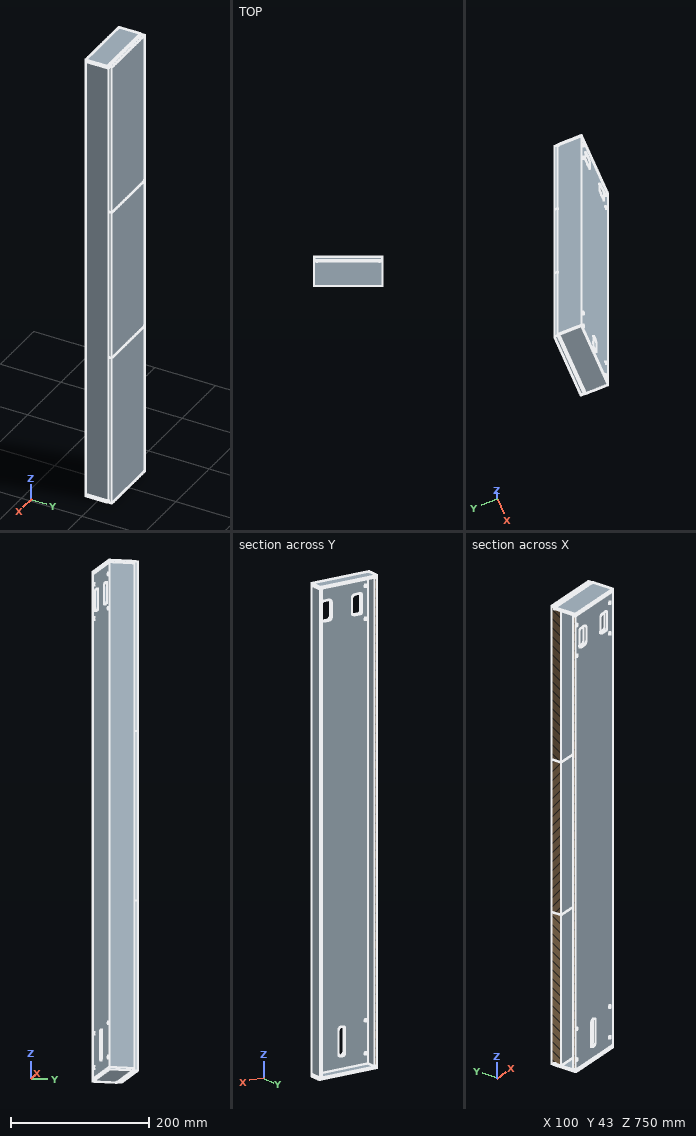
import cadquery as cq

WIDTH = 100.0
DEPTH = 43.0
LENGTH = 750.0

WALL = 4.65
PANEL_STAND_OUT = 5.0
HOUSING_DEPTH = DEPTH - PANEL_STAND_OUT
INNER_WIDTH = WIDTH - 2 * WALL

CAP_THICKNESS = 3.45
CAP_BACK_SETBACK = 1.9
CAP_DEPTH = HOUSING_DEPTH - CAP_BACK_SETBACK

PANEL_COUNT = 3
PANEL_INSET = 0.4
INSERT_FRONT_Y = 25.0
PANEL_WIDTH = WIDTH - 2 * PANEL_INSET
PANEL_LENGTH = (LENGTH - 2 * PANEL_INSET) / PANEL_COUNT

HOLE_DIAMETER = 4.0
HOLE_OFFSET_X = 42.0
HOLE_SPACING_Z = 50.0
HOLE_END_DISTANCE = 19.5

WINDOW_WIDTH = 17.0
WINDOW_HEIGHT = 31.5
WINDOW_OFFSET_X = 26.0
WINDOW_CENTER_Z = 705.0
WINDOW_INNER_RADIUS = 5.0
WINDOW_OUTER_RADIUS = 3.15

SLOT_WIDTH = 11.0
SLOT_HEIGHT = 45.0
SLOT_CENTER_Z = 45.0
SLOT_CORNER_RADIUS = 4.5


def centered_box(width, y_range, z_range):
    """Box centered on X that spans the given Y and Z ranges."""
    front, back = y_range
    bottom, top = z_range
    box = cq.Workplane("XY").box(width, back - front, top - bottom, centered=(True, False, False))
    return box.translate((0, front, bottom))


def front_wall_cutter(outline):
    """Extrude an outline on the front face backward through the front wall."""
    return outline.extrude(-WALL)


def rectangle_cutter(center_x, center_z, width, height):
    """Cutter for a rectangular opening in the front wall."""
    return front_wall_cutter(cq.Workplane("XZ").center(center_x, center_z).rect(width, height))


def screw_hole_cutter():
    heights = [HOLE_END_DISTANCE, HOLE_END_DISTANCE + HOLE_SPACING_Z]
    heights += [LENGTH - height for height in heights]
    centers = [(side * HOLE_OFFSET_X, height) for side in (-1, 1) for height in heights]
    return front_wall_cutter(cq.Workplane("XZ").pushPoints(centers).circle(HOLE_DIAMETER / 2))


def window_cutter(side):
    """Window on one side: side is -1 for -X and 1 for +X."""
    cutter = rectangle_cutter(side * WINDOW_OFFSET_X, WINDOW_CENTER_Z, WINDOW_WIDTH, WINDOW_HEIGHT)
    inner_side, outer_side = ("<X", ">X") if side > 0 else (">X", "<X")
    cutter = cutter.edges(f"|Y and {inner_side}").fillet(WINDOW_INNER_RADIUS)
    return cutter.edges(f"|Y and {outer_side}").fillet(WINDOW_OUTER_RADIUS)


def slot_cutter():
    cutter = rectangle_cutter(0, SLOT_CENTER_Z, SLOT_WIDTH, SLOT_HEIGHT)
    return cutter.edges("|Y").fillet(SLOT_CORNER_RADIUS)


def make_housing():
    z_range = (CAP_THICKNESS, LENGTH - CAP_THICKNESS)
    channel = centered_box(WIDTH, (0, HOUSING_DEPTH), z_range)
    cavity = centered_box(INNER_WIDTH, (WALL, HOUSING_DEPTH), z_range)
    housing = channel.cut(cavity).cut(screw_hole_cutter()).cut(slot_cutter())
    for side in (-1, 1):
        housing = housing.cut(window_cutter(side))
    return housing


def make_cap(bottom_z):
    return centered_box(WIDTH, (0, CAP_DEPTH), (bottom_z, bottom_z + CAP_THICKNESS))


def make_panel(index):
    """One panel of the row, counted from the bottom; the inserts stop at the end caps."""
    bottom_z = PANEL_INSET + index * PANEL_LENGTH
    top_z = bottom_z + PANEL_LENGTH
    insert_z_range = (max(bottom_z, CAP_THICKNESS), min(top_z, LENGTH - CAP_THICKNESS))
    cover = centered_box(PANEL_WIDTH, (HOUSING_DEPTH, DEPTH), (bottom_z, top_z))
    insert = centered_box(INNER_WIDTH, (INSERT_FRONT_Y, HOUSING_DEPTH), insert_z_range)
    return cover.union(insert)


housing = make_housing()
caps = [make_cap(bottom_z) for bottom_z in (0, LENGTH - CAP_THICKNESS)]
panels = [make_panel(index) for index in range(PANEL_COUNT)]

bodies = [housing, *caps, *panels]
result = cq.Compound.makeCompound([body.val() for body in bodies])